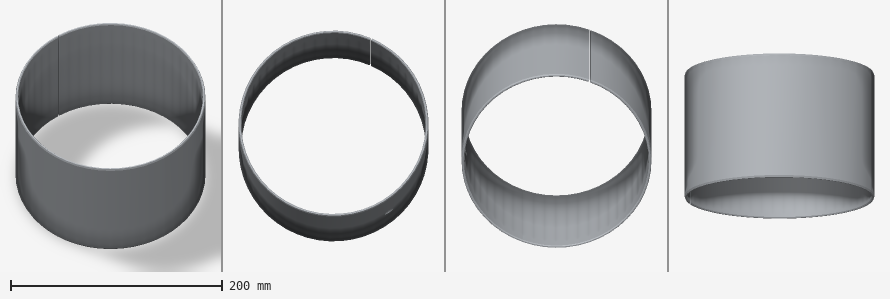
import cadquery as cq

outer_diameter = 180.0
height = 120.0
wall = 2.5

outer_chamfer_height = 1.8
inner_chamfer_height = 1.0
chamfer_depth = 0.7

slit_width = 1.5

hole_diameter = 10.0
hole_angle = 59.0

outer_radius = outer_diameter / 2
inner_radius = outer_radius - wall
outer_rim_radius = outer_radius - chamfer_depth
inner_rim_radius = inner_radius + chamfer_depth
half_height = height / 2
outer_chamfer_start = half_height - outer_chamfer_height
inner_chamfer_start = half_height - inner_chamfer_height


def make_sleeve():
    """Revolve the wall section, including the end chamfers."""
    return (
        cq.Workplane("XZ")
        .moveTo(inner_rim_radius, -half_height)
        .lineTo(outer_rim_radius, -half_height)
        .lineTo(outer_radius, -outer_chamfer_start)
        .lineTo(outer_radius, outer_chamfer_start)
        .lineTo(outer_rim_radius, half_height)
        .lineTo(inner_rim_radius, half_height)
        .lineTo(inner_radius, inner_chamfer_start)
        .lineTo(inner_radius, -inner_chamfer_start)
        .close()
        .revolve(360, (0, 0, 0), (0, 1, 0))
    )


def make_slit_cutter():
    """Thin slab reaching from the axis out past the -X wall."""
    return cq.Workplane("XY").box(
        outer_diameter, slit_width, height, centered=(False, False, True)
    ).translate((-outer_diameter, 0, 0))


def make_hole_cutter():
    """Radial pin from the axis out through one side of the wall."""
    return (
        cq.Workplane("YZ")
        .circle(hole_diameter / 2)
        .extrude(outer_diameter)
        .rotate((0, 0, 0), (0, 0, 1), hole_angle)
    )


result = make_sleeve().cut(make_slit_cutter()).cut(make_hole_cutter())